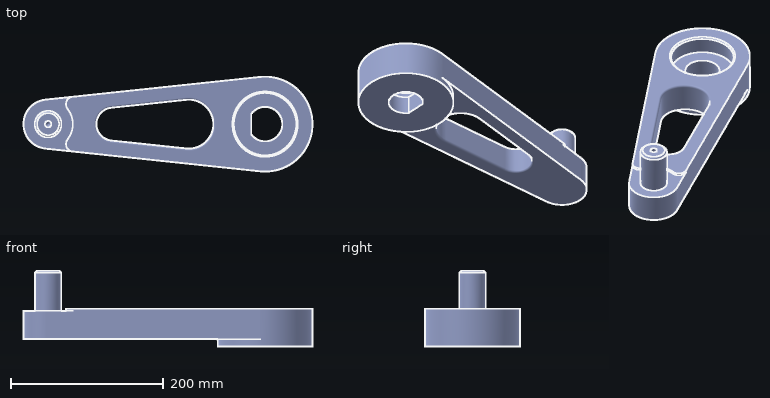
import cadquery as cq
import math


HUB_RADIUS = 62.5
PIN_END_RADIUS = 32.5
PIN_X = -285.0
ARM_THICKNESS = 40.0

BOSS_HEIGHT = 10.0
BORE_DIAMETER = 45.0
BORE_FLAT_X = -18.0
COUNTERBORE_DIAMETER = 82.0
COUNTERBORE_DEPTH = 23.5
COUNTERBORE_CHAMFER = 2.0

WINDOW_SMALL_X = -200.0
WINDOW_LARGE_X = -100.0
WINDOW_WALL = 20.0
WINDOW_RIM_RADIUS = 3.0

STEP_DEPTH = 3.0
STEP_CORNER_RADIUS = 10.0

PIN_DIAMETER = 35.0
PIN_CHAMFER = 3.0
PIN_TOP_Z = 90.0
PIN_HOLE_DIAMETER = 8.5
PIN_HOLE_DEPTH = 20.0
DRILL_POINT_ANGLE = 118.0

STEP_Z = ARM_THICKNESS - STEP_DEPTH

SIDE_SINE = (HUB_RADIUS - PIN_END_RADIUS) / -PIN_X
SIDE_COSINE = math.sqrt(1 - SIDE_SINE**2)


def tapered_link(small_x, small_radius, large_x, large_radius, height):
    """Two round ends on the X axis joined by their common tangents, standing on Z = 0."""
    sine = (large_radius - small_radius) / (large_x - small_x)
    cosine = math.sqrt(1 - sine**2)
    small_tangent = (small_x - small_radius * sine, small_radius * cosine)
    large_tangent = (large_x - large_radius * sine, large_radius * cosine)
    return (
        cq.Workplane("XY")
        .moveTo(*small_tangent)
        .lineTo(*large_tangent)
        .threePointArc((large_x + large_radius, 0), (large_tangent[0], -large_tangent[1]))
        .lineTo(small_tangent[0], -small_tangent[1])
        .threePointArc((small_x - small_radius, 0), small_tangent)
        .close()
        .extrude(height)
    )


def pierced_arm():
    """Tapered arm with a window through it, rounded at its upper and lower rims."""
    plain_arm = tapered_link(PIN_X, PIN_END_RADIUS, 0, HUB_RADIUS, ARM_THICKNESS)
    small_radius = HUB_RADIUS + WINDOW_SMALL_X * SIDE_SINE - WINDOW_WALL
    large_radius = HUB_RADIUS + WINDOW_LARGE_X * SIDE_SINE - WINDOW_WALL
    opening = tapered_link(WINDOW_SMALL_X, small_radius, WINDOW_LARGE_X, large_radius, ARM_THICKNESS)
    arm = plain_arm.cut(opening)
    rims = [wire for face in arm.faces("|Z").vals() for wire in face.innerWires()]
    return arm.newObject(rims).edges().fillet(WINDOW_RIM_RADIUS)


def hub_boss():
    return cq.Workplane("XY").circle(HUB_RADIUS).extrude(-BOSS_HEIGHT)


def hub_bore():
    """Through bore with one flat, below a chamfered counterbore."""
    bore_radius = BORE_DIAMETER / 2
    counterbore_radius = COUNTERBORE_DIAMETER / 2
    height = BOSS_HEIGHT + ARM_THICKNESS
    flat_trim = (
        cq.Workplane("XY")
        .box(bore_radius - BORE_FLAT_X, BORE_DIAMETER, height, centered=(False, True, False))
        .translate((BORE_FLAT_X, 0, -BOSS_HEIGHT))
    )
    bore = (
        cq.Workplane("XY", origin=(0, 0, -BOSS_HEIGHT))
        .circle(bore_radius)
        .extrude(height)
        .intersect(flat_trim)
    )
    counterbore = (
        cq.Workplane("XY", origin=(0, 0, ARM_THICKNESS))
        .circle(counterbore_radius)
        .extrude(-COUNTERBORE_DEPTH)
    )
    entry = cq.Workplane(
        cq.Solid.makeCone(
            counterbore_radius,
            counterbore_radius + COUNTERBORE_CHAMFER,
            COUNTERBORE_CHAMFER,
            pnt=cq.Vector(0, 0, ARM_THICKNESS - COUNTERBORE_CHAMFER),
        )
    )
    return bore.union(counterbore).union(entry)


def pin_step():
    """Step cutter: an arc about the pin that rolls out into the tapered sides of the arm."""

    def from_pin(along, outward):
        """Point measured from the pin axis, along and square to the upper side of the arm."""
        return (
            PIN_X + along * SIDE_COSINE - outward * SIDE_SINE,
            along * SIDE_SINE + outward * SIDE_COSINE,
        )

    def mirrored(point):
        return (point[0], -point[1])

    corner_along = 2 * math.sqrt(PIN_END_RADIUS * STEP_CORNER_RADIUS)
    corner_outward = PIN_END_RADIUS - STEP_CORNER_RADIUS
    corner = from_pin(corner_along, corner_outward)
    share = PIN_END_RADIUS / (PIN_END_RADIUS + STEP_CORNER_RADIUS)
    arc_end = (PIN_X + (corner[0] - PIN_X) * share, corner[1] * share)
    corner_mid = (corner[0] - STEP_CORNER_RADIUS, corner[1])
    side_point = from_pin(corner_along, PIN_END_RADIUS)
    clear_y = HUB_RADIUS
    clear_x = PIN_X - HUB_RADIUS
    return (
        cq.Workplane("XY", origin=(0, 0, STEP_Z))
        .moveTo(*mirrored(arc_end))
        .threePointArc((PIN_X + PIN_END_RADIUS, 0), arc_end)
        .threePointArc(corner_mid, side_point)
        .lineTo(side_point[0], clear_y)
        .lineTo(clear_x, clear_y)
        .lineTo(clear_x, -clear_y)
        .lineTo(side_point[0], -clear_y)
        .lineTo(*mirrored(side_point))
        .threePointArc(mirrored(corner_mid), mirrored(arc_end))
        .close()
        .extrude(STEP_DEPTH)
    )


def crank_pin():
    return (
        cq.Workplane("XY", origin=(PIN_X, 0, STEP_Z))
        .circle(PIN_DIAMETER / 2)
        .extrude(PIN_TOP_Z - STEP_Z)
        .faces(">Z")
        .chamfer(PIN_CHAMFER)
    )


def pin_hole():
    """Drilled hole with a conical end, down from the top of the pin."""
    radius = PIN_HOLE_DIAMETER / 2
    point_length = radius / math.tan(math.radians(DRILL_POINT_ANGLE / 2))
    profile = (
        cq.Workplane("XZ", origin=(PIN_X, 0, PIN_TOP_Z))
        .lineTo(radius, 0)
        .lineTo(radius, -PIN_HOLE_DEPTH)
        .lineTo(0, -PIN_HOLE_DEPTH - point_length)
        .close()
    )
    return profile.revolve(360, (0, 0), (0, 1))


result = (
    pierced_arm()
    .union(hub_boss())
    .cut(hub_bore())
    .cut(pin_step())
    .union(crank_pin())
    .cut(pin_hole())
)